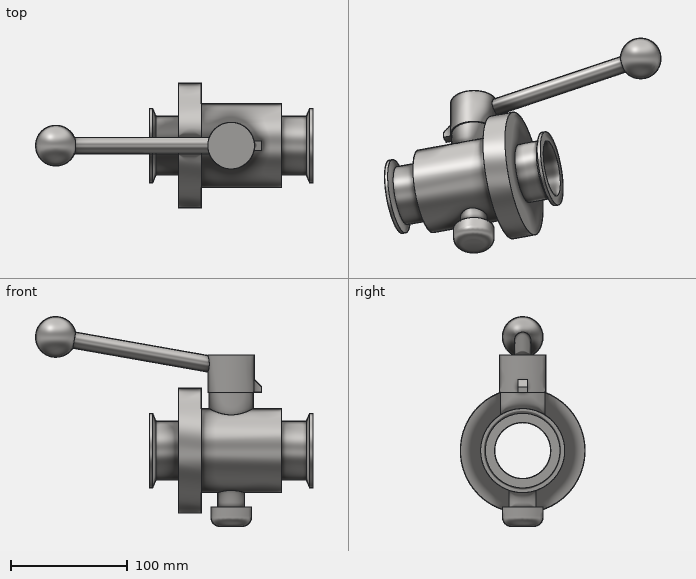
import cadquery as cq
import math


pipe_length = 140.5
pipe_diameter = 50.7
bore_diameter = 47.8
ferrule_diameter = 64.0
ferrule_rim_width = 2.9
ferrule_width = 5.7

flange_diameter = 107.0
flange_start = -45.2
flange_width = 19.8
body_diameter = 72.0
body_length = 68.8

neck_diameter = 38.0
head_diameter = 40.0
head_bottom = 50.0
head_top = 82.0

tab_reach = 26.2
tab_width = 8.0
tab_tip_height = 4.8
tab_root_height = 11.0

post_diameter = 23.0
foot_diameter = 35.0
foot_top = -48.3
foot_bottom = -65.2
foot_rounding = 8.3

overall_length = 238.0
overall_height = 180.2
ball_diameter = 35.0
rod_diameter = 14.0
rod_slope = math.radians(10)

pipe_end = pipe_length / 2
body_start = flange_start + flange_width
ball_x = pipe_end - overall_length + ball_diameter / 2
ball_z = foot_bottom + overall_height - ball_diameter / 2


def cylinder_along_x(diameter, start, length):
    return cq.Workplane("YZ", origin=(start, 0, 0)).circle(diameter / 2).extrude(length)


def cylinder_along_z(diameter, bottom, top):
    return cq.Workplane("XY", origin=(0, 0, bottom)).circle(diameter / 2).extrude(top - bottom)


def make_ferrule():
    """Clamp ferrule at the -X pipe end, with a back that tapers down to the pipe."""
    profile = (
        cq.Workplane("XZ")
        .moveTo(-pipe_end, 0)
        .lineTo(-pipe_end, ferrule_diameter / 2)
        .lineTo(-pipe_end + ferrule_rim_width, ferrule_diameter / 2)
        .lineTo(-pipe_end + ferrule_width, pipe_diameter / 2)
        .lineTo(-pipe_end + ferrule_width, 0)
        .close()
    )
    return profile.revolve(360, (0, 0, 0), (1, 0, 0))


def make_tab():
    """Pointer with a sloped top, level with the bottom of the head."""
    return (
        cq.Workplane("XZ")
        .moveTo(0, head_bottom)
        .lineTo(tab_reach, head_bottom)
        .lineTo(tab_reach, head_bottom + tab_tip_height)
        .lineTo(head_diameter / 2, head_bottom + tab_root_height)
        .lineTo(0, head_bottom + tab_root_height)
        .close()
        .extrude(tab_width / 2, both=True)
    )


def make_foot():
    post = cylinder_along_z(post_diameter, foot_top, 0)
    foot = cylinder_along_z(foot_diameter, foot_bottom, foot_top)
    return post.union(foot.faces("<Z").edges().fillet(foot_rounding))


def make_handle():
    """Ball and sloping rod; the rod runs from the ball centre to the stem axis."""
    ball_centre = (ball_x, 0, ball_z)
    direction = (math.cos(rod_slope), 0, -math.sin(rod_slope))
    rod_length = -ball_x / math.cos(rod_slope)
    rod_plane = cq.Plane(origin=ball_centre, xDir=(0, 1, 0), normal=direction)
    rod = cq.Workplane(rod_plane).circle(rod_diameter / 2).extrude(rod_length)
    ball = cq.Workplane("XY").sphere(ball_diameter / 2).translate(ball_centre)
    return ball.union(rod)


ferrule = make_ferrule()
valve = (
    cylinder_along_x(pipe_diameter, -pipe_end, pipe_length)
    .union(ferrule)
    .union(ferrule.mirror("YZ"))
    .union(cylinder_along_x(flange_diameter, flange_start, flange_width))
    .union(cylinder_along_x(body_diameter, body_start, body_length))
    .union(cylinder_along_z(neck_diameter, 0, head_bottom))
    .union(cylinder_along_z(head_diameter, head_bottom, head_top))
    .union(make_tab())
    .union(make_foot())
    .union(make_handle())
)

result = valve.cut(cylinder_along_x(bore_diameter, -pipe_end, pipe_length))